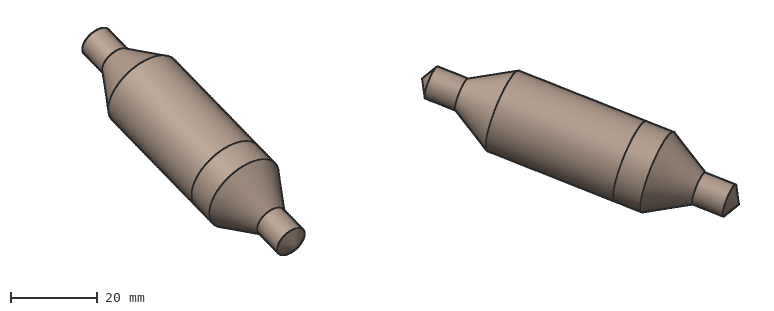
import cadquery as cq
import math

overall_length = 80.0
body_diameter = 20.0
pilot_diameter = 8.0
pilot_length = 10.1
point_angle = 118.0
countersink_angle = 60.0
joint_from_right_tip = 27.35

body_radius = body_diameter / 2
pilot_radius = pilot_diameter / 2
half_length = overall_length / 2
point_length = pilot_radius / math.tan(math.radians(point_angle / 2))
countersink_length = (body_radius - pilot_radius) / math.tan(math.radians(countersink_angle / 2))
joint_x = half_length - joint_from_right_tip


def cutter_end(side):
    """Tool end on the given side (-1 left, +1 right), from its tip to the joint, turned about X."""
    def from_tip(distance):
        return side * (half_length - distance)

    profile = (
        cq.Workplane("XY")
        .moveTo(from_tip(0), 0)
        .lineTo(from_tip(point_length), pilot_radius)
        .lineTo(from_tip(pilot_length), pilot_radius)
        .lineTo(from_tip(pilot_length + countersink_length), body_radius)
        .lineTo(joint_x, body_radius)
        .lineTo(joint_x, 0)
        .close()
    )
    return profile.revolve(360, (0, 0, 0), (1, 0, 0))


long_body = cutter_end(-1)

short_body = cutter_end(1)

result = cq.Compound.makeCompound([long_body.val(), short_body.val()])